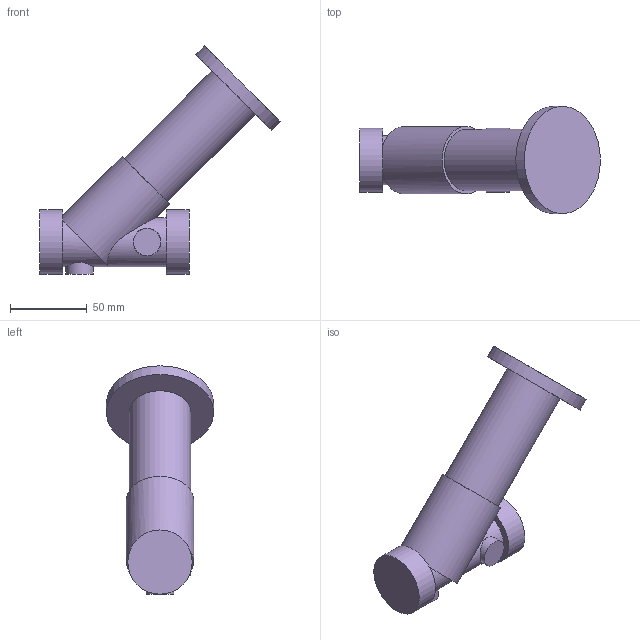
import cadquery as cq
import math

run_diameter = 32.0
run_start_x = -29.0
run_length = 97.5
end_collar_diameter = 41.91
end_collar_length = 15.0

branch_angle = 45.0
sleeve_diameter = 44.0
sleeve_length = 57.0
barrel_diameter = 40.0
disc_diameter = 70.0
disc_thickness = 8.0
branch_length = 146.0

port_diameter = 18.0
bottom_port_reach = end_collar_diameter / 2
bottom_port_x = -3.0
side_port_reach = 20.0
side_port_x = 41.0

run_end_x = run_start_x + run_length
branch_direction = cq.Vector(
    math.cos(math.radians(branch_angle)), 0, math.sin(math.radians(branch_angle))
)


def run_cylinder(diameter, start_x, length):
    """Cylinder on the X axis."""
    return cq.Solid.makeCylinder(
        diameter / 2, length, cq.Vector(start_x, 0, 0), cq.Vector(1, 0, 0)
    )


def branch_cylinder(diameter, start, end):
    """Cylinder on the branch axis between two distances from the origin."""
    return cq.Solid.makeCylinder(
        diameter / 2, end - start, branch_direction * start, branch_direction
    )


def port(x, reach, direction):
    """Solid port growing outward from the run axis."""
    return cq.Solid.makeCylinder(
        port_diameter / 2, reach, cq.Vector(x, 0, 0), direction
    )


def make_run():
    pipe = cq.Workplane(run_cylinder(run_diameter, run_start_x, run_length))
    for collar_x in (run_start_x, run_end_x - end_collar_length):
        pipe = pipe.union(run_cylinder(end_collar_diameter, collar_x, end_collar_length))
    return pipe


def make_branch():
    disc_start = branch_length - disc_thickness
    sleeve = cq.Workplane(branch_cylinder(sleeve_diameter, 0, sleeve_length))
    barrel = branch_cylinder(barrel_diameter, sleeve_length, disc_start)
    disc = branch_cylinder(disc_diameter, disc_start, branch_length)
    return sleeve.union(barrel).union(disc)


bottom_port = port(bottom_port_x, bottom_port_reach, cq.Vector(0, 0, -1))
side_port = port(side_port_x, side_port_reach, cq.Vector(0, -1, 0))

result = make_run().union(make_branch()).union(bottom_port).union(side_port)